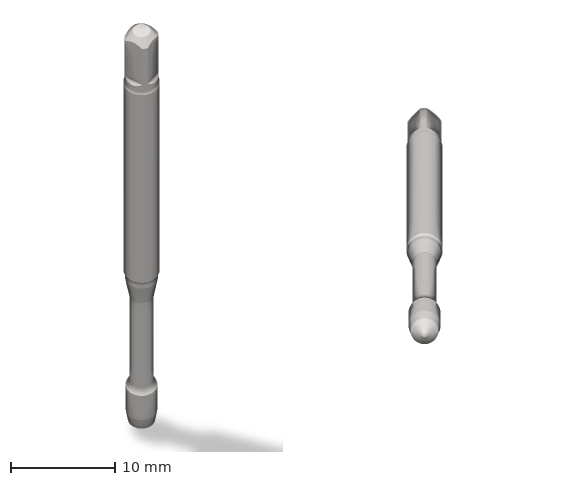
import cadquery as cq
import math


total_length = 57.3

point_angle = 90.0
point_diameter = 2.65
head_diameter = 3.07
head_taper_end = 2.8
head_shoulder_start = 6.3
rod_start = 7.1
rod_diameter = 2.35

mouth_height = 19.3
mouth_diameter = 2.4
nose_taper_end = 21.85
nose_diameter = 3.2
nose_band_end = 22.35
barrel_start = 22.85
barrel_diameter = 3.5
barrel_end = 49.95
tail_start = 50.3
tail_diameter = 3.3

across_flats = 2.7
flats_start = 51.3
flat_count = 4
tip_diameter = 1.7
tip_chamfer_height = 0.8


def revolve_about_z(outline):
    """Close a half outline drawn as (radius, height) and turn it about the Z axis."""
    return outline.close().revolve(360, (0, 0, 0), (0, 1, 0))


def shoulder_midpoint(thin_radius, thin_height, wide_radius, wide_height):
    """Middle of a hollow shoulder arc that leaves the thinner cylinder tangentially."""
    step = wide_radius - thin_radius
    rise = wide_height - thin_height
    arc_radius = (step**2 + rise**2) / (2 * step)
    half_sweep = math.atan2(step, abs(rise))
    return (
        thin_radius + arc_radius * (1 - math.cos(half_sweep)),
        thin_height + math.copysign(arc_radius * math.sin(half_sweep), rise),
    )


def make_plunger():
    """Rod that ends at the barrel mouth, with a wider head tapering to a conical point."""
    rod_radius = rod_diameter / 2
    head_radius = head_diameter / 2
    point_radius = point_diameter / 2
    point_height = point_radius / math.tan(math.radians(point_angle / 2))
    outline = (
        cq.Workplane("XZ")
        .lineTo(point_radius, point_height)
        .lineTo(head_radius, head_taper_end)
        .lineTo(head_radius, head_shoulder_start)
        .threePointArc(
            shoulder_midpoint(rod_radius, rod_start, head_radius, head_shoulder_start),
            (rod_radius, rod_start),
        )
        .lineTo(rod_radius, mouth_height)
        .lineTo(0, mouth_height)
    )
    return revolve_about_z(outline)


def make_round_barrel():
    """Barrel with a tapered nose below and a narrower chamfered tail above, still round."""
    nose_radius = nose_diameter / 2
    barrel_radius = barrel_diameter / 2
    tail_radius = tail_diameter / 2
    outline = (
        cq.Workplane("XZ")
        .moveTo(0, mouth_height)
        .lineTo(mouth_diameter / 2, mouth_height)
        .lineTo(nose_radius, nose_taper_end)
        .lineTo(nose_radius, nose_band_end)
        .threePointArc(
            shoulder_midpoint(nose_radius, nose_band_end, barrel_radius, barrel_start),
            (barrel_radius, barrel_start),
        )
        .lineTo(barrel_radius, barrel_end)
        .threePointArc(
            shoulder_midpoint(tail_radius, tail_start, barrel_radius, barrel_end),
            (tail_radius, tail_start),
        )
        .lineTo(tail_radius, total_length - tip_chamfer_height)
        .lineTo(tip_diameter / 2, total_length)
        .lineTo(0, total_length)
    )
    return revolve_about_z(outline)


def make_flat_cutter():
    """Block that cuts the flat on +X, running out at 45 degrees at its lower end."""
    flat_offset = across_flats / 2
    outer_offset = barrel_diameter / 2
    runout = outer_offset - flat_offset
    return (
        cq.Workplane("XZ")
        .moveTo(flat_offset, flats_start)
        .lineTo(outer_offset, flats_start - runout)
        .lineTo(outer_offset, total_length)
        .lineTo(flat_offset, total_length)
        .close()
        .extrude(barrel_diameter / 2, both=True)
    )


def make_barrel():
    """Round barrel with the flats of the square cut into its tail."""
    barrel = make_round_barrel()
    flat_cutter = make_flat_cutter()
    for index in range(flat_count):
        angle = index * 360 / flat_count
        barrel = barrel.cut(flat_cutter.rotate((0, 0, 0), (0, 0, 1), angle))
    return barrel


plunger = make_plunger()
barrel = make_barrel()

result = cq.Compound.makeCompound([plunger.val(), barrel.val()])